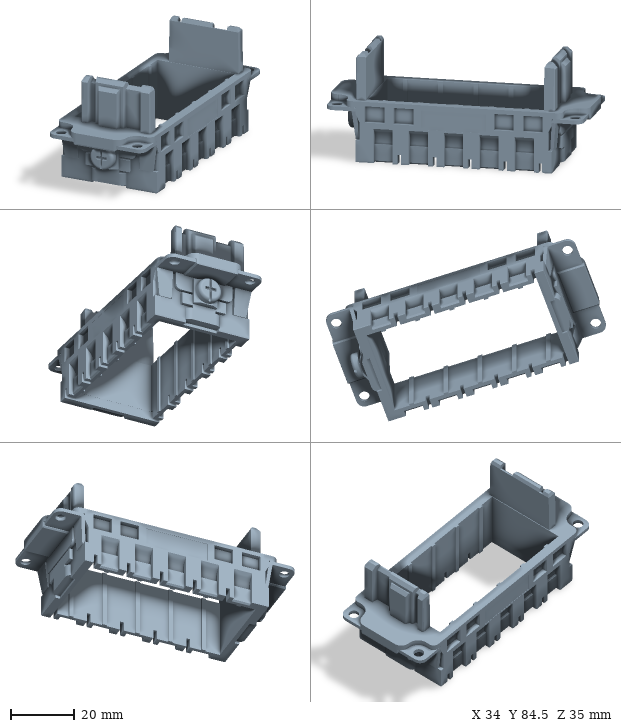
import cadquery as cq
import math

OVERALL_LENGTH = 84.5
HALF_LENGTH = OVERALL_LENGTH / 2
HALF_WIDTH = 17.0
FRAME_TOP = 19.85
TOTAL_HEIGHT = 35.0
END_FACE = 31.9
OPENING_HALF_WIDTH = 13.9
OPENING_HALF_LENGTH = 28.8
LIP = 0.1
LIP_HEIGHT = 2.9

RIM_HEIGHT = 0.5
RIM_INSET = 0.1

SHEET = 1.3
SHEET_TOP = 17.8
SHEET_BOTTOM = SHEET_TOP - SHEET
SHEET_FACE = END_FACE + SHEET
EAR_END = 41.75
EAR_CORNER = 2.6
TAB_HALF_WIDTH = 7.5
HOLE_X = 13.5
HOLE_Y = 38.8
HOLE_RADIUS = 1.7
TONGUE_HALF_WIDTH = 10.05
TONGUE_BOTTOM = 10.7
TONGUE_CORNER = 1.7
LEG_INNER = 11.15
LEG_TIP_OUTER = 15.55
LEG_BOTTOM = 7.2
LEG_TIP_Y = 31.1
LEG_TIP_THICKNESS = 1.1
BEND_RADIUS = 0.85

NOSE_HALF_WIDTH = 9.55
NOSE_CORNER = 3.0
SCALLOP_RADIUS = 3.9
SCALLOP_X = 13.5
SCALLOP_BOTTOM = 35.2
SHOULDER_RADIUS = 2.0
TAB_BOTTOM = 15.9
TAB_CHAMFER = 0.4
TAB_FRONT_INSET = 0.1

POCKET_INNER = 10.8
POCKET_FLOOR_Y = 30.7
POCKET_RAMP_BOTTOM = 13.1
POCKET_RAMP_TOP = 15.8

BLOCK_HALF_WIDTH = 7.8
BLOCK_BOTTOM = 6.1
BLOCK_TOP = 10.0
NECK_HALF_WIDTH = 4.0
PAD_HALF_WIDTH = 6.25
PAD_FLAT_HALF_WIDTH = 4.2
PAD_BOTTOM = 1.0
PAD_TOP = 5.15
UNDERCUT_HALF_WIDTH = 5.9
UNDERCUT_DEPTH = 1.7

PITCH = 11.5
STATIONS = [PITCH * i for i in range(-2, 3)]
WINDOW_WIDTH = 6.25
WINDOW_TOP = 11.2
WINDOW_ARC_TOP = 10.2
WINDOW_ARC_BOTTOM = 6.25
LEDGE_HEIGHT = 5.8
PANEL_DEPTH = 1.4
WINDOW_MOUTH_DEPTH = 1.0
WINDOW_DEPTH = 2.3
SLOT_OFFSET = 5.2
SLOT_WIDTH = 1.3
SLOT_HEIGHT = 3.1
RIB_WIDTH = 1.5
RIB_HEIGHT = 0.5
SIDE_POCKET_YS = (16.3, 25.8)
SIDE_POCKET_WIDTH = 6.4
SIDE_POCKET_BOTTOM = 13.1
SIDE_POCKET_TOP = 18.4
SIDE_POCKET_DEPTH = 1.8
LABEL_WIDTH = 21.1
LABEL_BOTTOM = 11.8
LABEL_TOP = 18.2
LABEL_DEPTH = 0.1

LATCH_INNER = 29.0
LATCH_LEFT = -9.9
LATCH_RIGHT = 14.95
LATCH_DRAFT = 0.25
LATCH_CORNER_WIDTH = 0.5
LATCH_CORNER_HEIGHT = 1.1
WALL_OUTER = 30.4
WALL_TOP = 33.9
WALL_CHAMFER = 1.0
WALL_FILLET = 0.25
RIB_INNER_SHOULDER = 33.9
RIB_TOP_START = 29.6
LEFT_POST_EDGE = -6.85
RIGHT_POST_EDGE = 10.65
POST_OUTER = 32.45
POST_CHAMFER = 0.5
POST_BEVEL = 1.5
CENTRE_HALF_WIDTH = 5.6
CENTRE_OUTER = 31.8
CENTRE_BEVEL = 1.1
FLANK = 0.7
CATCH_HALF_WIDTH = 3.8
CATCH_FLANK = 0.6
CATCH_OUTER = 33.2
CATCH_TOP = 32.9
CATCH_CHAMFER = 1.1

SCREW_Z = 11.0
HEAD_RADIUS = 4.05
HEAD_START = 35.1
HEAD_END = 37.7
HEAD_FILLET = 1.0
SHANK_RADIUS = 2.0
SHANK_TIP = 30.25
SLOT_DEPTH = 1.0
LONG_SLOT_WIDTH = 0.85
CROSS_SLOT_LENGTH = 3.9
CROSS_SLOT_WIDTH = 1.1
WASHER_HALF_WIDTH = 4.2
WASHER_HALF_HEIGHT = 4.3
WASHER_EDGE = 34.1
WASHER_FLAT = 2.2


def box(x0, x1, y0, y1, z0, z1):
    return cq.Workplane("XY").box(x1 - x0, y1 - y0, z1 - z0, centered=False).translate((x0, y0, z0))


def prism_along_x(profile, x0, x1):
    """Extrude a closed (Y, Z) profile from x0 to x1."""
    return cq.Workplane("YZ").workplane(offset=x0).polyline(profile).close().extrude(x1 - x0)


def prism_along_y(profile, y0, y1):
    """Extrude a closed (X, Z) profile from y0 to y1."""
    return cq.Workplane("XZ").workplane(offset=-y1).polyline(profile).close().extrude(y1 - y0)


def prism_along_z(profile, z0, z1):
    """Extrude a closed (X, Y) profile from z0 to z1."""
    return cq.Workplane("XY").workplane(offset=z0).polyline(profile).close().extrude(z1 - z0)


def both_sides(shape):
    return shape.union(shape.mirror("YZ"))


def both_ends(shape):
    return shape.union(shape.mirror("XZ"))



def ear_plate():
    plate = box(-HALF_WIDTH, HALF_WIDTH, END_FACE, EAR_END, SHEET_BOTTOM, SHEET_TOP)
    plate = plate.edges("|Z and >Y").fillet(EAR_CORNER)
    plate = plate.edges("<Y and >Z").fillet(BEND_RADIUS)
    plate = plate.cut(box(-TAB_HALF_WIDTH, TAB_HALF_WIDTH, SHEET_FACE, HALF_LENGTH, SHEET_BOTTOM, SHEET_TOP))
    holes = cq.Workplane("XY").workplane(offset=SHEET_BOTTOM)
    holes = holes.pushPoints([(-HOLE_X, HOLE_Y), (HOLE_X, HOLE_Y)]).circle(HOLE_RADIUS).extrude(SHEET)
    return plate.cut(holes)


def bracket_leg():
    """Leg that leans into its corner pocket and narrows towards the tip."""
    lean = [
        (END_FACE, SHEET_BOTTOM),
        (SHEET_FACE, SHEET_BOTTOM),
        (LEG_TIP_Y + LEG_TIP_THICKNESS, LEG_BOTTOM),
        (LEG_TIP_Y, LEG_BOTTOM),
    ]
    outline = [
        (LEG_INNER, LEG_BOTTOM),
        (LEG_TIP_OUTER, LEG_BOTTOM),
        (HALF_WIDTH, SHEET_BOTTOM),
        (LEG_INNER, SHEET_BOTTOM),
    ]
    blank = prism_along_x(lean, LEG_INNER, HALF_WIDTH)
    return blank.intersect(prism_along_y(outline, POCKET_FLOOR_Y, SHEET_FACE))


def make_bracket():
    tongue = box(-TONGUE_HALF_WIDTH, TONGUE_HALF_WIDTH, END_FACE, SHEET_FACE, TONGUE_BOTTOM, SHEET_BOTTOM)
    tongue = tongue.edges("|Y and <Z").fillet(TONGUE_CORNER)
    return ear_plate().union(tongue).union(both_sides(bracket_leg()))



def rimmed_section(half_size):
    """Cross-section of the frame block, drawn in slightly along its bottom rim."""
    rim = half_size - RIM_INSET
    return [
        (-half_size, FRAME_TOP),
        (-half_size, RIM_HEIGHT),
        (-rim, 0),
        (rim, 0),
        (half_size, RIM_HEIGHT),
        (half_size, FRAME_TOP),
    ]


def base_ring():
    ring = prism_along_y(rimmed_section(HALF_WIDTH), -END_FACE, END_FACE)
    ring = ring.intersect(prism_along_x(rimmed_section(END_FACE), -HALF_WIDTH, HALF_WIDTH))
    opening = [
        (OPENING_HALF_LENGTH, FRAME_TOP),
        (OPENING_HALF_LENGTH, LIP_HEIGHT),
        (OPENING_HALF_LENGTH - LIP, 0),
        (LIP - OPENING_HALF_LENGTH, 0),
        (-OPENING_HALF_LENGTH, LIP_HEIGHT),
        (-OPENING_HALF_LENGTH, FRAME_TOP),
    ]
    return ring.cut(prism_along_x(opening, -OPENING_HALF_WIDTH, OPENING_HALF_WIDTH))


def end_flange():
    """Flange over the bracket ears, scalloped around the ear holes, with a tab between the ears."""
    shoulder_x = HALF_WIDTH - SHOULDER_RADIUS
    shoulder_y = SCALLOP_BOTTOM - SHOULDER_RADIUS
    scallop_y = SCALLOP_BOTTOM + SCALLOP_RADIUS
    outline = (
        cq.Workplane("XY").workplane(offset=TAB_BOTTOM)
        .moveTo(0, OPENING_HALF_LENGTH)
        .lineTo(HALF_WIDTH, OPENING_HALF_LENGTH)
        .lineTo(HALF_WIDTH, shoulder_y)
        .tangentArcPoint((shoulder_x, SCALLOP_BOTTOM), relative=False)
        .lineTo(SCALLOP_X, SCALLOP_BOTTOM)
        .tangentArcPoint((SCALLOP_X - SCALLOP_RADIUS, scallop_y), relative=False)
        .lineTo(NOSE_HALF_WIDTH, HALF_LENGTH - NOSE_CORNER)
        .radiusArc((NOSE_HALF_WIDTH - NOSE_CORNER, HALF_LENGTH), -NOSE_CORNER)
        .lineTo(0, HALF_LENGTH)
        .close()
    )
    blank = both_sides(outline.extrude(FRAME_TOP - TAB_BOTTOM))
    plate = blank.intersect(
        box(-HALF_WIDTH, HALF_WIDTH, OPENING_HALF_LENGTH, HALF_LENGTH, SHEET_TOP, FRAME_TOP)
    )
    return plate.union(blank.intersect(flange_tab()))


def flange_tab():
    chamfer_top = TAB_BOTTOM + TAB_CHAMFER
    tab_length_profile = [
        (SHEET_FACE, SHEET_TOP),
        (SHEET_FACE, chamfer_top),
        (SHEET_FACE + TAB_CHAMFER, TAB_BOTTOM),
        (HALF_LENGTH - TAB_FRONT_INSET, TAB_BOTTOM),
        (HALF_LENGTH, chamfer_top),
        (HALF_LENGTH, SHEET_TOP),
    ]
    tab_width_profile = [
        (-TAB_HALF_WIDTH, SHEET_TOP),
        (-TAB_HALF_WIDTH, chamfer_top),
        (TAB_CHAMFER - TAB_HALF_WIDTH, TAB_BOTTOM),
        (TAB_HALF_WIDTH - TAB_CHAMFER, TAB_BOTTOM),
        (TAB_HALF_WIDTH, chamfer_top),
        (TAB_HALF_WIDTH, SHEET_TOP),
    ]
    tab = prism_along_x(tab_length_profile, -TAB_HALF_WIDTH, TAB_HALF_WIDTH)
    return tab.intersect(prism_along_y(tab_width_profile, SHEET_FACE, HALF_LENGTH))


def corner_pocket():
    profile = [
        (POCKET_FLOOR_Y, LEG_BOTTOM),
        (POCKET_FLOOR_Y, POCKET_RAMP_BOTTOM),
        (END_FACE, POCKET_RAMP_TOP),
        (END_FACE, LEG_BOTTOM),
    ]
    return prism_along_x(profile, POCKET_INNER, HALF_WIDTH)


def end_wall_pads():
    block = box(-BLOCK_HALF_WIDTH, BLOCK_HALF_WIDTH, END_FACE, SHEET_FACE, BLOCK_BOTTOM, BLOCK_TOP)
    neck = box(-NECK_HALF_WIDTH, NECK_HALF_WIDTH, END_FACE, SHEET_FACE, PAD_TOP, BLOCK_BOTTOM)
    pad = (
        cq.Workplane("XY").workplane(offset=PAD_BOTTOM)
        .moveTo(0, END_FACE)
        .lineTo(0, SHEET_FACE)
        .lineTo(PAD_FLAT_HALF_WIDTH, SHEET_FACE)
        .tangentArcPoint((PAD_HALF_WIDTH, END_FACE), relative=False)
        .close()
        .extrude(PAD_TOP - PAD_BOTTOM)
    )
    return block.union(neck).union(both_sides(pad))


def pad_undercut():
    return box(
        -UNDERCUT_HALF_WIDTH, UNDERCUT_HALF_WIDTH, END_FACE - UNDERCUT_DEPTH, END_FACE, 0, PAD_BOTTOM
    )


def latch_silhouette():
    """(X, Z) outline of the latch, drafted upwards and with bevelled top corners."""
    top_left = LATCH_LEFT + LATCH_DRAFT
    top_right = LATCH_RIGHT - LATCH_DRAFT
    bevel_bottom = TOTAL_HEIGHT - LATCH_CORNER_HEIGHT
    return [
        (LATCH_LEFT, FRAME_TOP),
        (LATCH_RIGHT, FRAME_TOP),
        (top_right, bevel_bottom),
        (top_right - LATCH_CORNER_WIDTH, TOTAL_HEIGHT),
        (top_left + LATCH_CORNER_WIDTH, TOTAL_HEIGHT),
        (top_left, bevel_bottom),
    ]


def tapered_rib(half_width, inner, outer, flank, profile):
    """Centred rib with a (Y, Z) profile whose flanks close in towards its outer face."""
    plan = [
        (-half_width, inner),
        (half_width, inner),
        (half_width - flank, outer),
        (flank - half_width, outer),
    ]
    rib = prism_along_z(plan, FRAME_TOP, TOTAL_HEIGHT)
    return rib.intersect(prism_along_x(profile, -half_width, half_width))


def post(end_x, near_x):
    """Post with one chamfered edge at the end of the wall and a sloping flank facing the centre rib."""
    toward_centre = math.copysign(1, near_x - end_x)
    plan = [
        (end_x, LATCH_INNER),
        (end_x, POST_OUTER - POST_CHAMFER),
        (end_x + toward_centre * POST_CHAMFER, POST_OUTER),
        (near_x - toward_centre * FLANK, POST_OUTER),
        (near_x, LATCH_INNER),
    ]
    profile = [
        (LATCH_INNER, FRAME_TOP),
        (LATCH_INNER, RIB_INNER_SHOULDER),
        (RIB_TOP_START, TOTAL_HEIGHT),
        (POST_OUTER - POST_BEVEL, TOTAL_HEIGHT),
        (POST_OUTER, TOTAL_HEIGHT - POST_BEVEL),
        (POST_OUTER, FRAME_TOP),
    ]
    blank = prism_along_z(plan, FRAME_TOP, TOTAL_HEIGHT)
    return blank.intersect(prism_along_x(profile, LATCH_LEFT, LATCH_RIGHT))


def latch():
    """Thin wall with two posts, a centre rib and a catch."""
    wall_profile = [
        (LATCH_INNER, FRAME_TOP),
        (LATCH_INNER, WALL_TOP),
        (WALL_OUTER - WALL_CHAMFER, WALL_TOP),
        (WALL_OUTER, WALL_TOP - WALL_CHAMFER),
        (WALL_OUTER, FRAME_TOP),
    ]
    centre_profile = [
        (LATCH_INNER, FRAME_TOP),
        (LATCH_INNER, RIB_INNER_SHOULDER),
        (RIB_TOP_START, TOTAL_HEIGHT),
        (CENTRE_OUTER - CENTRE_BEVEL, TOTAL_HEIGHT),
        (CENTRE_OUTER, TOTAL_HEIGHT - CENTRE_BEVEL),
        (CENTRE_OUTER, FRAME_TOP),
    ]
    catch_profile = [
        (CENTRE_OUTER, FRAME_TOP),
        (CENTRE_OUTER, CATCH_TOP),
        (CATCH_OUTER - CATCH_CHAMFER, CATCH_TOP),
        (CATCH_OUTER, CATCH_TOP - CATCH_CHAMFER),
        (CATCH_OUTER, FRAME_TOP),
    ]
    body = prism_along_x(wall_profile, LATCH_LEFT, LATCH_RIGHT)
    body = body.union(post(LATCH_LEFT, LEFT_POST_EDGE))
    body = body.union(post(LATCH_RIGHT, RIGHT_POST_EDGE))
    body = body.union(tapered_rib(CENTRE_HALF_WIDTH, LATCH_INNER, CENTRE_OUTER, FLANK, centre_profile))
    foot = cq.selectors.BoxSelector(
        (LATCH_LEFT, WALL_OUTER - WALL_FILLET, FRAME_TOP),
        (LATCH_RIGHT, WALL_OUTER + WALL_FILLET, TOTAL_HEIGHT),
    )
    body = body.edges("|Z").edges(foot).fillet(WALL_FILLET)
    body = body.union(tapered_rib(CATCH_HALF_WIDTH, CENTRE_OUTER, CATCH_OUTER, CATCH_FLANK, catch_profile))
    return body.intersect(prism_along_y(latch_silhouette(), LATCH_INNER, CATCH_OUTER))


def side_window(y):
    """Recess with a flat lower panel, a ledge and a hollowed upper part, in the +X wall."""
    x_mouth = HALF_WIDTH - WINDOW_MOUTH_DEPTH
    x_deep = HALF_WIDTH - WINDOW_DEPTH
    x_panel = HALF_WIDTH - PANEL_DEPTH
    profile = (
        cq.Workplane("XZ").workplane(offset=-(y + WINDOW_WIDTH / 2))
        .moveTo(HALF_WIDTH, 0)
        .lineTo(HALF_WIDTH, WINDOW_TOP)
        .lineTo(x_mouth, WINDOW_ARC_TOP)
        .radiusArc((x_deep, WINDOW_ARC_BOTTOM), -(WINDOW_ARC_TOP - WINDOW_ARC_BOTTOM))
        .lineTo(x_deep, LEDGE_HEIGHT)
        .lineTo(x_panel, LEDGE_HEIGHT)
        .lineTo(x_panel, RIM_HEIGHT)
        .lineTo(x_panel - RIM_HEIGHT, 0)
        .close()
    )
    return profile.extrude(WINDOW_WIDTH)


def side_recess(y, width, bottom, top, depth):
    return box(HALF_WIDTH - depth, HALF_WIDTH, y - width / 2, y + width / 2, bottom, top)


def cut_side_details(frame):
    for y in STATIONS:
        frame = frame.cut(both_sides(side_window(y)))
        slot_y = y + SLOT_OFFSET
        slot = box(-HALF_WIDTH, HALF_WIDTH, slot_y - SLOT_WIDTH / 2, slot_y + SLOT_WIDTH / 2, 0, SLOT_HEIGHT)
        frame = frame.cut(slot)
    for y in SIDE_POCKET_YS:
        pocket = side_recess(y, SIDE_POCKET_WIDTH, SIDE_POCKET_BOTTOM, SIDE_POCKET_TOP, SIDE_POCKET_DEPTH)
        frame = frame.cut(both_ends(both_sides(pocket)))
    label = side_recess(0, LABEL_WIDTH, LABEL_BOTTOM, LABEL_TOP, LABEL_DEPTH)
    return frame.cut(both_sides(label))


def add_inner_ribs(frame):
    for y in STATIONS:
        rib = box(
            OPENING_HALF_WIDTH - RIB_HEIGHT, OPENING_HALF_WIDTH,
            y - RIB_WIDTH / 2, y + RIB_WIDTH / 2,
            0, FRAME_TOP,
        )
        frame = frame.union(both_sides(rib))
    return frame


def make_frame():
    frame = base_ring().cut(both_ends(both_sides(corner_pocket())))
    frame = frame.cut(both_ends(pad_undercut()))
    for feature in (end_flange(), end_wall_pads(), latch()):
        frame = frame.union(both_ends(feature))
    return cut_side_details(add_inner_ribs(frame))



def screw_cylinder(radius, y0, y1):
    return cq.Workplane("XZ").workplane(offset=y0).center(0, SCREW_Z).circle(radius).extrude(y1 - y0)


def make_screw():
    head = screw_cylinder(HEAD_RADIUS, HEAD_START, HEAD_END).edges("<Y").fillet(HEAD_FILLET)
    slot_floor = SLOT_DEPTH - HEAD_END
    half_long = LONG_SLOT_WIDTH / 2
    long_slot = box(
        -half_long, half_long, -HEAD_END, slot_floor, SCREW_Z - HEAD_RADIUS, SCREW_Z + HEAD_RADIUS
    )
    half_cross = CROSS_SLOT_WIDTH / 2
    cross_slot = box(
        -CROSS_SLOT_LENGTH / 2, CROSS_SLOT_LENGTH / 2, -HEAD_END, slot_floor,
        SCREW_Z - half_cross, SCREW_Z + half_cross,
    )
    return head.cut(long_slot).cut(cross_slot).union(screw_cylinder(SHANK_RADIUS, SHANK_TIP, HEAD_START))


def make_washer():
    """Square washer with a flat middle and sloping sides."""
    plan = [
        (-WASHER_HALF_WIDTH, -SHEET_FACE),
        (WASHER_HALF_WIDTH, -SHEET_FACE),
        (WASHER_HALF_WIDTH, -WASHER_EDGE),
        (WASHER_FLAT, -HEAD_START),
        (-WASHER_FLAT, -HEAD_START),
        (-WASHER_HALF_WIDTH, -WASHER_EDGE),
    ]
    return prism_along_z(plan, SCREW_Z - WASHER_HALF_HEIGHT, SCREW_Z + WASHER_HALF_HEIGHT)


screw = make_screw()
screw_hole = screw_cylinder(SHANK_RADIUS, SHANK_TIP, HEAD_START)
washer = make_washer().cut(screw_hole)
brackets = [bracket.cut(screw_hole) for bracket in (make_bracket(), make_bracket().mirror("XZ"))]
frame = make_frame().cut(screw_hole)
for bracket in brackets:
    frame = frame.cut(bracket)

result = cq.Compound.makeCompound(
    [frame.val(), *[bracket.val() for bracket in brackets], washer.val(), screw.val()]
)